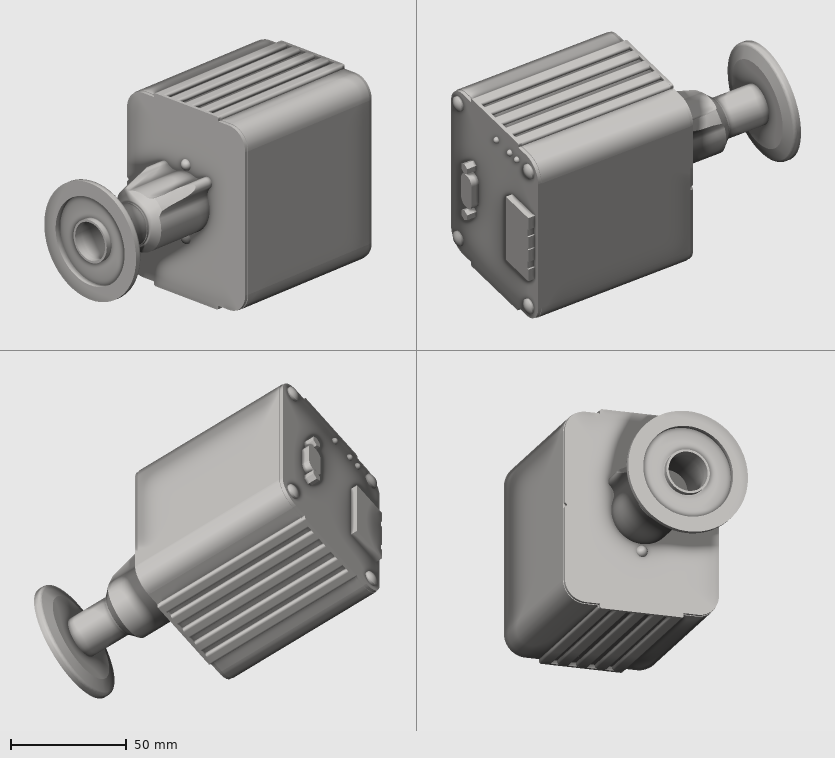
import cadquery as cq
import math


overall_length = 143.8

housing_front = 60.0
housing_back = 139.1
plate_thickness = 1.6
plate_inset = 0.3
shell_width = 71.0
shell_shoulder_height = 87.3
shell_corner_radius = 9.9
overall_height = 90.8
plate_ridge_corner_radius = 0.9
plate_notch_width = 2.2

fin_width = 5.8
fin_spacing = 8.6
outer_fin_x = 16.5
fin_centers = (-outer_fin_x, -fin_spacing, 0, fin_spacing, outer_fin_x)
fin_row_width = 2 * outer_fin_x + fin_width
fin_corner_radius = 1.3

flange_diameter = 54.8
flange_thickness = 5.0
flange_back_diameter = 41.1
flange_taper = 15
flange_edge_radius = 1.5
recess_diameter = 41.1
recess_depth = 2.9
lip_diameter = 19.8
bore_diameter = 17.8
tube_diameter = 19.0
step_front = 25.3
collar_tip = 26.2
collar_front = 29.8
collar_diameter = 28.0
collar_tip_diameter = 21.3
collar_tip_edge_radius = 0.9

ear_reach = 15.4
ear_tip_diameter = 5.3
ear_tip_radius = ear_tip_diameter / 2
ear_center = ear_reach - ear_tip_radius
ear_root_radius = 5.5
ear_front_radius = 15.5
ear_front = 31.4
ear_full_radius = 20.7
ear_taper_end = 50.6

front_screw_diameter = 5.3
front_screw_height = 2.2
front_screw_z = 17.3

back_screw_diameter = 6.9
back_screw_rim = 1.2
back_screw_height = 2.5
back_screw_x = 28.5
back_screw_z = 36.5
led_diameter = 3.0
led_height = 1.7
led_xs = (-18.7, -13.0, -2.2)

connector_z = -2.2
terminal_left = -32.5
terminal_width = 18.1
terminal_length = 34.2
terminal_height = 3.3
terminal_recess_depth = 0.7
terminal_recess_width = 4.0
terminal_recess_offset = 8.8
terminal_slit_width = 0.6
socket_x = 17.0
socket_width = 8.3
socket_length = 17.3
socket_height = 3.7
socket_corner_radius = 3.6
post_spacing = 25.0
post_across_flats = 4.6


def section(y):
    """Workplane across the tube axis at y: local x is X, local y is Z."""
    return cq.Workplane("XZ", origin=(0, y, 0))


def box(x_span, y_span, z_span):
    spans = (x_span, y_span, z_span)
    sizes = [high - low for low, high in spans]
    return cq.Workplane("XY").box(*sizes, centered=False).translate([low for low, high in spans])


def revolve_about_tube(points):
    """Solid of revolution about the Y axis from (radius, y) points."""
    return cq.Workplane("XY").polyline(points).close().revolve(360, (0, 0, 0), (0, 1, 0))


def round_circle(solid, radius, y, fillet_radius):
    """Round the circular edge of the given radius that lies at y around the tube axis."""
    margin = 0.1
    outer = radius + margin
    near_circle = cq.selectors.BoxSelector(
        (-outer, y - margin, -outer), (outer, y + margin, outer), boundingbox=True
    )
    edges = solid.edges(near_circle).filter(lambda edge: abs(edge.radius() - radius) < margin)
    return edges.fillet(fillet_radius)


def dome(diameter, height, rim=0):
    """Domed button rising along +Y from y = 0, with an optional straight rim below the dome."""
    radius = diameter / 2
    cap_height = height - rim
    sphere_radius = (radius**2 + cap_height**2) / (2 * cap_height)
    half_angle = math.asin(min(1, radius / sphere_radius)) / 2
    middle = (
        sphere_radius * math.sin(half_angle),
        height - sphere_radius * (1 - math.cos(half_angle)),
    )
    profile = cq.Workplane("XY").lineTo(radius, 0)
    if rim:
        profile = profile.lineTo(radius, rim)
    return profile.threePointArc(middle, (0, height)).close().revolve(360, (0, 0, 0), (0, 1, 0))


def make_shell():
    """Extruded shell between the two end plates, with fins standing on its top and bottom."""
    front = housing_front + plate_thickness
    back = housing_back - plate_thickness
    shell = (
        section(front)
        .rect(shell_width, shell_shoulder_height)
        .extrude(front - back)
        .edges("|Y")
        .fillet(shell_corner_radius)
    )
    top = overall_height / 2
    floor = shell_shoulder_height / 2
    for center in fin_centers:
        x_span = (center - fin_width / 2, center + fin_width / 2)
        fin = box(x_span, (front, back), (floor, top))
        fin = fin.edges("|Y and >Z").fillet(fin_corner_radius)
        shell = shell.union(fin).union(fin.mirror("XY"))
    return shell


def make_plate(front):
    """End plate, set in slightly from the shell, with a raised ridge above and below."""
    width = shell_width - 2 * plate_inset
    shoulder_height = shell_shoulder_height - 2 * plate_inset
    plate = (
        section(front)
        .rect(width, shoulder_height)
        .extrude(-plate_thickness)
        .edges("|Y")
        .fillet(shell_corner_radius - plate_inset)
    )
    ridge_width = fin_row_width - 2 * plate_inset
    ridge = (
        section(front)
        .rect(ridge_width, overall_height)
        .extrude(-plate_thickness)
        .edges("|Y")
        .fillet(plate_ridge_corner_radius)
    )
    return plate.union(ridge)


def make_notch():
    """Right-angled V notch in the -X edge of the front plate."""
    edge = -shell_width / 2 + plate_inset
    half_width = plate_notch_width / 2
    points = [(edge, half_width), (edge + half_width, 0), (edge, -half_width)]
    return section(housing_front).polyline(points).close().extrude(-plate_thickness)


def make_flange_and_collar():
    rim_radius = flange_diameter / 2
    back_radius = flange_back_diameter / 2
    rim_height = flange_thickness - (rim_radius - back_radius) * math.tan(math.radians(flange_taper))
    flange = revolve_about_tube([
        (0, 0),
        (rim_radius, 0),
        (rim_radius, rim_height),
        (back_radius, flange_thickness),
        (0, flange_thickness),
    ])
    flange = round_circle(flange, rim_radius, rim_height, flange_edge_radius)
    recess = section(0).circle(recess_diameter / 2).circle(lip_diameter / 2).extrude(-recess_depth)
    stem = revolve_about_tube([
        (0, recess_depth),
        (tube_diameter / 2, recess_depth),
        (tube_diameter / 2, step_front),
        (lip_diameter / 2, step_front),
        (lip_diameter / 2, collar_tip),
        (collar_tip_diameter / 2, collar_tip),
        (collar_diameter / 2, collar_front),
        (collar_diameter / 2, housing_front),
        (0, housing_front),
    ])
    stem = round_circle(stem, collar_tip_diameter / 2, collar_tip, collar_tip_edge_radius)
    bore = section(0).circle(bore_diameter / 2).extrude(-collar_tip)
    return flange.cut(recess).union(stem).cut(bore)


def make_ear():
    """Ear on the +X +Z diagonal: a round tip blended into the collar, tapering toward the front."""
    collar_radius = collar_diameter / 2
    tip_distance = ear_center * math.sqrt(2)
    to_tip = ear_tip_radius + ear_root_radius
    to_axis = collar_radius + ear_root_radius
    swing = math.acos((tip_distance**2 + to_axis**2 - to_tip**2) / (2 * tip_distance * to_axis))

    def outline_points(side):
        angle = math.radians(45) + side * swing
        center = cq.Vector(math.cos(angle), math.sin(angle)) * to_axis
        tip_center = cq.Vector(ear_center, ear_center)
        foot = center * (collar_radius / to_axis)
        shoulder = tip_center + (center - tip_center) * (ear_tip_radius / to_tip)
        toward_middle = ((foot - center).normalized() + (shoulder - center).normalized()).normalized()
        return foot, center + toward_middle * ear_root_radius, shoulder

    lower_foot, lower_middle, lower_shoulder = outline_points(-1)
    upper_foot, upper_middle, upper_shoulder = outline_points(1)
    tip = ear_center + ear_tip_radius / math.sqrt(2)
    ear = (
        section(collar_front)
        .lineTo(lower_foot.x, lower_foot.y)
        .threePointArc(lower_middle.toTuple()[:2], lower_shoulder.toTuple()[:2])
        .threePointArc((tip, tip), upper_shoulder.toTuple()[:2])
        .threePointArc(upper_middle.toTuple()[:2], upper_foot.toTuple()[:2])
        .close()
        .extrude(collar_front - housing_front)
    )
    envelope = revolve_about_tube([
        (0, collar_front),
        (collar_diameter / 2, collar_front),
        (ear_front_radius, ear_front),
        (ear_full_radius, ear_taper_end),
        (ear_full_radius, housing_front),
        (0, housing_front),
    ])
    return ear.intersect(envelope)


def make_terminal_block():
    """Rectangular block on the back plate, grooved along its -X face."""
    y_span = (housing_back, housing_back + terminal_height)
    half_length = terminal_length / 2
    block = box(
        (terminal_left, terminal_left + terminal_width),
        y_span,
        (connector_z - half_length, connector_z + half_length),
    )
    grooves = [
        (-terminal_recess_offset, terminal_recess_width),
        (0, terminal_slit_width),
        (terminal_recess_offset, terminal_recess_width),
    ]
    for offset, width in grooves:
        middle = connector_z + offset
        block = block.cut(box(
            (terminal_left, terminal_left + terminal_recess_depth),
            y_span,
            (middle - width / 2, middle + width / 2),
        ))
    return block


def make_socket():
    """Rounded connector shell on the back plate, between two hexagonal posts."""
    socket = (
        section(housing_back)
        .center(socket_x, connector_z)
        .rect(socket_width, socket_length)
        .extrude(-socket_height)
        .edges("|Y")
        .fillet(socket_corner_radius)
    )
    post_height = overall_length - housing_back
    across_corners = post_across_flats / math.cos(math.radians(30))
    for side in (-1, 1):
        post = (
            cq.Workplane("XZ")
            .polygon(6, across_corners)
            .extrude(-post_height)
            .rotate((0, 0, 0), (0, 1, 0), 30)
            .translate((socket_x, housing_back, connector_z + side * post_spacing / 2))
        )
        socket = socket.union(post)
    return socket


result = make_shell()
result = result.union(make_plate(housing_front).cut(make_notch()))
result = result.union(make_plate(housing_back - plate_thickness))

ear = make_ear()
result = result.union(make_flange_and_collar()).union(ear).union(ear.mirror("YZ"))

front_screw = dome(front_screw_diameter, front_screw_height).mirror("XZ")
back_screw = dome(back_screw_diameter, back_screw_height, back_screw_rim)
for side in (-1, 1):
    result = result.union(front_screw.translate((0, housing_front, side * front_screw_z)))
    for end in (-1, 1):
        place = (side * back_screw_x, housing_back, end * back_screw_z)
        result = result.union(back_screw.translate(place))

led = dome(led_diameter, led_height, led_height - led_diameter / 2)
for led_x in led_xs:
    result = result.union(led.translate((led_x, housing_back, back_screw_z)))

result = result.union(make_terminal_block()).union(make_socket())